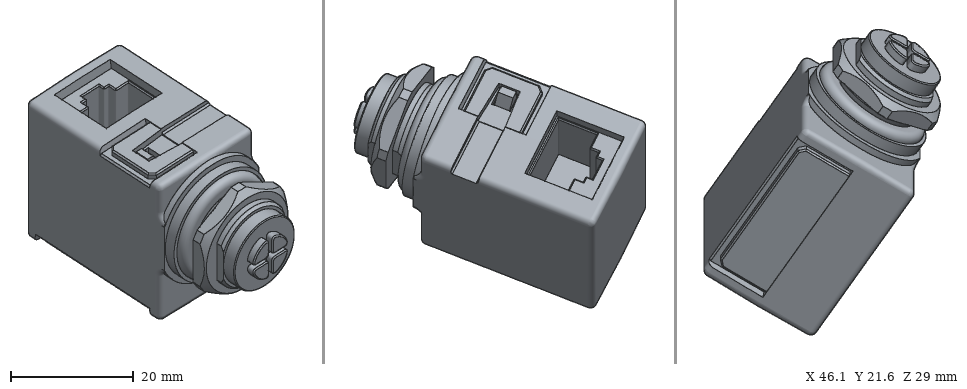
import cadquery as cq
import math

body_length = 31.4
body_width = 21.6
body_height = 29.0
half_width = body_width / 2
half_height = body_height / 2
draft_angle = 0.8
edge_radius = 1.05

axis_z = 2.05

neck_half_height = 5.7
neck_end = 32.25
neck_overrun = 2.3

flange_end = 32.55
flange_diameter = 23.5
flange_side_end = 32.35
collar_end = 34.4
collar_diameter = 21.3
seal_end = 35.85
seal_diameter = 20.0
seal_radius = 1.3
thread_end = 42.15
thread_diameter = 15.95
thread_flats = 13.9
thread_start_chamfer = (0.95, 0.55)
thread_end_chamfer = (0.55, 0.45)
nose_end = 44.62
nose_diameter = 13.9
nose_chamfer = 0.2

nut_start = 37.75
nut_end = 40.55
nut_across_flats = 19.2
nut_across_corners = 21.1
nut_face_diameter = 18.7

insert_end = 46.1
insert_diameter = 8.2
insert_gap = 0.75
insert_corner_diameter = 1.3
insert_tip_chamfer = 0.25

recess_start = 2.35
recess_end = 14.4
recess_width = 12.75
recess_depth = 1.8
recess_wall_lean = 0.28
jack_end = 14.1
jack_depth = 11.52
jack_bevel = 0.25
jack_corner_radius = 0.2
jack_half_width = 6.2
jack_start = 6.8
key_half_width = 3.27
key_start = 5.2
tab_half_width = 2.15
tab_start = 4.05

pocket_end = 29.2
top_pocket_start = 17.1
bottom_pocket_start = 2.1
top_pocket_depth = 1.2
bottom_pocket_depth = 1.55
pocket_lip = 0.3
pocket_wall_lean = 0.35
pocket_inset = 0.2
pad_gap = 0.88
pad_drop = 0.15
pad_reach = 9.65
pad_corner = 0.95
pad_bevel = 0.28

channel_center = 23.25
channel_wide = 4.9
channel_narrow = 3.8
channel_reach = 7.25
channel_deep = 1.4
channel_depth = 1.2
channel_bevel = 0.3
window_width = 3.3
window_start = 3.85
window_end = 7.0
window_depth = 2.55
hook_width = 2.67
hook_crest = 5.7
hook_drop = 0.25


def box(x_range, y_range, z_range):
    """Box between the given limits."""
    size = [high - low for low, high in (x_range, y_range, z_range)]
    corner = (x_range[0], y_range[0], z_range[0])
    return cq.Workplane("XY").box(*size, centered=False).translate(corner)


def cylinder(start, end, diameter):
    """Cylinder on the connector axis."""
    return cq.Workplane("YZ", origin=(start, 0, axis_z)).circle(diameter / 2).extrude(end - start)


def housing_half(side):
    """Half of the housing on one side of Y = 0 (side is -1 or 1)."""
    neck_length = neck_end + neck_overrun
    outline = (
        cq.Sketch()
        .push([(body_length / 2, 0)])
        .rect(body_length, body_height)
        .reset()
        .push([(neck_length / 2, axis_z)])
        .rect(neck_length, 2 * neck_half_height)
        .reset()
        .clean()
        .vertices()
        .fillet(edge_radius)
    )
    half = cq.Workplane("XZ").placeSketch(outline).extrude(half_width, taper=draft_angle)
    half = half.faces("<Y").edges().fillet(edge_radius)
    return half if side < 0 else half.mirror("XZ")


def housing():
    """Both halves, with the neck trimmed to length."""
    body = housing_half(-1).union(housing_half(1))
    trim = box((neck_end, neck_end + 2 * neck_overrun), (-body_width, body_width), (-body_height, body_height))
    return body.cut(trim)


def thread():
    """Threaded barrel with bevelled ends and two flats facing -Y and +Y."""
    radius = thread_diameter / 2
    start_length, start_drop = thread_start_chamfer
    end_length, end_drop = thread_end_chamfer
    barrel = (
        cq.Workplane("XY", origin=(0, 0, axis_z))
        .moveTo(seal_end, 0)
        .lineTo(seal_end, radius - start_drop)
        .lineTo(seal_end + start_length, radius)
        .lineTo(thread_end - end_length, radius)
        .lineTo(thread_end, radius - end_drop)
        .lineTo(thread_end, 0)
        .close()
        .revolve(360, (0, 0, 0), (1, 0, 0))
    )
    flats = box((seal_end, thread_end), (-thread_flats / 2, thread_flats / 2), (-body_height, body_height))
    return barrel.intersect(flats)


def hexagon(across_flats, turn):
    """Hexagonal bar as long as the nut, turned about the connector axis."""
    across_points = across_flats / math.cos(math.radians(30))
    bar = cq.Workplane("YZ", origin=(nut_start, 0, axis_z)).polygon(6, across_points).extrude(nut_end - nut_start)
    return bar.rotate((0, 0, axis_z), (1, 0, axis_z), turn)


def nut():
    """Hexagonal nut with flattened corners and a cone on its +X face."""
    corner_flats = hexagon(nut_across_corners, 0)
    blank = hexagon(nut_across_flats, 30).intersect(corner_flats)
    face_radius = nut_face_diameter / 2
    rear_radius = face_radius + nut_end - nut_start
    cone = (
        cq.Workplane("XY", origin=(0, 0, axis_z))
        .polyline([(nut_start, 0), (nut_start, rear_radius), (nut_end, face_radius), (nut_end, 0)])
        .close()
        .revolve(360, (0, 0, 0), (1, 0, 0))
    )
    return blank.intersect(cone)


def insert():
    """Four quarter-round contact sectors around the connector axis."""
    sectors = cq.Workplane("XY")
    inner = insert_gap / 2
    outer = insert_diameter
    length = insert_end - nose_end
    sector = (
        cq.Workplane("YZ", origin=(nose_end, 0, axis_z))
        .moveTo(inner, inner)
        .lineTo(outer, inner)
        .lineTo(outer, outer)
        .lineTo(inner, outer)
        .close()
        .extrude(length)
        .intersect(cylinder(nose_end, insert_end, insert_diameter))
        .edges("|X")
        .fillet(insert_corner_diameter / 2)
        .faces(">X")
        .chamfer(insert_tip_chamfer)
    )
    for quarter in range(4):
        sectors = sectors.add(sector.rotate((0, 0, axis_z), (1, 0, axis_z), 90 * quarter))
    return sectors.combine()


def connector():
    """Flange, collar, seal, thread, nut, nose and contact insert."""
    flange_limits = (
        cq.Workplane("XY", origin=(0, 0, -body_height))
        .polyline([
            (0, -half_width),
            (flange_side_end, -half_width),
            (flange_end, 0),
            (flange_side_end, half_width),
            (0, half_width),
        ])
        .close()
        .extrude(2 * body_height)
    )
    flange = cylinder(body_length - edge_radius, flange_end, flange_diameter).intersect(flange_limits)
    collar = cylinder(body_length, collar_end, collar_diameter)
    seal = cylinder(collar_end, seal_end, seal_diameter).faces(">X").edges().fillet(seal_radius)
    nose = cylinder(thread_end, nose_end, nose_diameter).faces(">X").chamfer(nose_chamfer)
    return flange.union(collar).union(seal).union(thread()).union(nut()).union(nose).union(insert())


def socket():
    """Cutter for the shallow recess and the stepped jack opening below it."""
    floor = half_height - recess_depth
    recess = (
        cq.Workplane("XZ", origin=(0, recess_width / 2, 0))
        .polyline([
            (recess_start + recess_wall_lean, floor),
            (recess_end, floor),
            (recess_end, half_height + 0.45),
            (recess_start, half_height + 0.45),
            (recess_start, half_height),
        ])
        .close()
        .extrude(recess_width)
    )
    upper_outline = [
        (tab_start, tab_half_width),
        (key_start, tab_half_width),
        (key_start, key_half_width),
        (jack_start, key_half_width),
        (jack_start, jack_half_width),
        (jack_end, jack_half_width),
    ]
    lower_outline = [(x, -y) for x, y in reversed(upper_outline)]
    outline = cq.Workplane("XY", origin=(0, 0, floor)).polyline(upper_outline + lower_outline).close()
    rim = outline.extrude(-jack_bevel, taper=45)
    shaft = (
        rim.faces("<Z")
        .wires()
        .toPending()
        .extrude(-jack_depth, combine=False)
        .edges("|Z")
        .fillet(jack_corner_radius)
    )
    return recess.union(rim).union(shaft)


def latch_pocket(start, depth):
    """Cutter for a pocket in the top face around a bevelled pad that stays standing."""
    floor = half_height - depth
    lip = half_width - pocket_lip
    pocket = (
        cq.Workplane("YZ", origin=(start, 0, 0))
        .polyline([
            (-pocket_inset, floor),
            (-lip, floor),
            (-half_width, floor - pocket_lip),
            (-half_width - 0.45, floor - pocket_lip),
            (-half_width - 0.45, half_height + 0.45),
            (-pocket_inset, half_height + 0.45),
        ])
        .close()
        .extrude(pocket_end - start)
    )
    trough = (
        cq.Workplane("XZ")
        .polyline([
            (start + pocket_wall_lean, floor - pocket_lip),
            (pocket_end - pocket_wall_lean, floor - pocket_lip),
            (pocket_end, half_height),
            (pocket_end, half_height + 0.45),
            (start, half_height + 0.45),
            (start, half_height),
        ])
        .close()
        .extrude(half_width + 0.45)
    )
    pad = (
        box((start + pad_gap, pocket_end - pad_gap), (-pad_reach, 0), (floor, half_height - pad_drop))
        .edges("|Z and <Y")
        .chamfer(pad_corner)
        .faces(">Z")
        .edges("not >Y")
        .chamfer(pad_bevel)
    )
    return pocket.intersect(trough).cut(pad)


def latch_channel():
    """Cutter for the strap channel, its tapered closed end and the window for the hook."""
    half_wide = channel_wide / 2
    half_narrow = channel_narrow / 2
    half_floor = half_wide - channel_bevel
    strap = (
        cq.Workplane("XZ", origin=(channel_center, 0, half_height))
        .polyline([
            (-half_wide, 0.45),
            (-half_wide, channel_bevel - channel_depth),
            (-half_floor, -channel_depth),
            (half_floor, -channel_depth),
            (half_wide, channel_bevel - channel_depth),
            (half_wide, 0.45),
        ])
        .close()
        .extrude(-half_width - 0.45)
    )
    closed_end = (
        cq.Workplane("XY", origin=(channel_center, 0, half_height - channel_deep))
        .polyline([
            (-half_wide, 0),
            (half_wide, 0),
            (half_narrow, -channel_reach),
            (-half_narrow, -channel_reach),
        ])
        .close()
        .extrude(channel_deep + 0.45)
    )
    window = box(
        (channel_center - window_width / 2, channel_center + window_width / 2),
        (-window_end, -window_start),
        (half_height - window_depth, half_height),
    )
    return strap.union(closed_end).union(window)


def hook():
    """Ramped latch hook that stands in the window."""
    foot = half_height - window_depth - hook_drop
    crest = half_height - hook_drop
    return (
        cq.Workplane("YZ", origin=(channel_center - hook_width / 2, 0, 0))
        .polyline([(-window_start, foot), (-hook_crest, crest), (-window_end, crest), (-window_end, foot)])
        .close()
        .extrude(hook_width)
    )


bottom_pocket = latch_pocket(bottom_pocket_start, bottom_pocket_depth).mirror("XY")
result = (
    housing()
    .union(connector())
    .cut(socket())
    .cut(latch_pocket(top_pocket_start, top_pocket_depth))
    .cut(bottom_pocket)
    .cut(latch_channel())
    .union(hook())
)